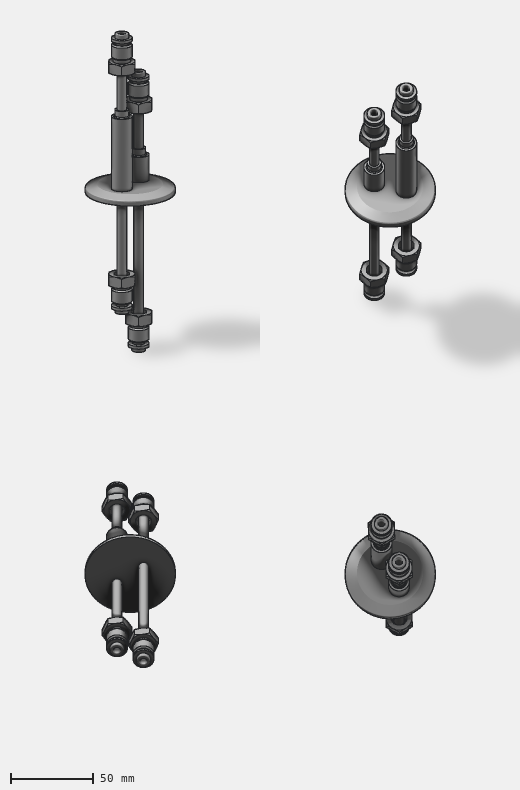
import cadquery as cq
import math

LINE_OFFSET_Y = 10.0
TUBE_LENGTH = 179.0
LONG_REACH = 104.5
SHORT_REACH = TUBE_LENGTH - LONG_REACH
TUBE_DIAMETER = 6.0
BORE_DIAMETER = 4.2

FLANGE_DIAMETER = 55.0
FLANGE_LAND_DIAMETER = 40.1
FLANGE_THICKNESS = 5.0
FLANGE_CONE_ANGLE = 15.0
FLANGE_RIM_FILLET = 1.0

SLEEVE_DIAMETER = 12.7
LONG_SLEEVE_TOP = 51.2
SHORT_SLEEVE_TOP = 21.1
COLLAR_DIAMETER = 8.5
COLLAR_HEIGHT = 4.4
WELD_LEG = 0.6

BEAD_DIAMETER = 8.5
BEAD_DEPTH = 3.0
BEAD_FILLET = 0.6
DISC_DIAMETER = 12.7
DISC_DEPTH = 4.8
NECK_DIAMETER = 7.3
NECK_DEPTH = 14.6

NUT_DEPTH = 6.7
THREAD_DIAMETER = 12.7
RELIEF_DIAMETER = 10.9
THREAD_CHAMFER = (THREAD_DIAMETER - RELIEF_DIAMETER) / 2
THREAD_LENGTH = 9.2
HEX_START = 11.3
NUT_LENGTH = 18.2
HEX_FLATS = 15.9
HEX_CORNERS = HEX_FLATS / math.cos(math.radians(30))
HEX_CHAMFER_ANGLE = 30.0
NUT_BORE_DIAMETER = 9.6

LINES = [
    (-LINE_OFFSET_Y, LONG_REACH, -SHORT_REACH, LONG_SLEEVE_TOP),
    (LINE_OFFSET_Y, SHORT_REACH, -LONG_REACH, SHORT_SLEEVE_TOP),
]


def cylinder(diameter, bottom, top):
    """Cylinder on the Z axis between two heights."""
    return cq.Workplane("XY").workplane(offset=bottom).circle(diameter / 2).extrude(top - bottom)


def place_at_end(shape, y, tip, upper):
    """Move a shape whose tip is at the origin, pointing up, to an upper or lower tube end."""
    if not upper:
        shape = shape.rotate((0, 0, 0), (1, 0, 0), 180)
    return shape.translate((0, y, tip))


def make_flange_plate():
    """Round plate with a conical rim on its upper side."""
    radius = FLANGE_DIAMETER / 2
    land_radius = FLANGE_LAND_DIAMETER / 2
    cone_drop = (radius - land_radius) * math.tan(math.radians(FLANGE_CONE_ANGLE))
    rim_height = FLANGE_THICKNESS - cone_drop
    plate = (
        cq.Workplane("XZ")
        .moveTo(0, 0)
        .lineTo(radius, 0)
        .lineTo(radius, rim_height)
        .lineTo(land_radius, FLANGE_THICKNESS)
        .lineTo(0, FLANGE_THICKNESS)
        .close()
        .revolve(360, (0, 0, 0), (0, 1, 0))
    )
    return plate.faces("%CONE").edges("<Z").fillet(FLANGE_RIM_FILLET)


def make_weld(sleeve_top):
    """Conical weld seam between the collar and the top of the sleeve."""
    wide_diameter = COLLAR_DIAMETER + 2 * WELD_LEG
    foot = cq.Workplane("XY").workplane(offset=sleeve_top).circle(wide_diameter / 2)
    return foot.workplane(offset=WELD_LEG).circle(COLLAR_DIAMETER / 2).loft(ruled=True)


def make_gland():
    """Neck, sealing disc and rounded bead, with the tip at the origin pointing up."""
    bead = cylinder(BEAD_DIAMETER, -BEAD_DEPTH, 0).cut(cylinder(BORE_DIAMETER, -BEAD_DEPTH, 0))
    bead = bead.faces(">Z").edges().fillet(BEAD_FILLET)
    disc = cylinder(DISC_DIAMETER, -DISC_DEPTH, -BEAD_DEPTH)
    neck = cylinder(NECK_DIAMETER, -NECK_DEPTH, -DISC_DEPTH)
    return disc.union(neck).cut(cylinder(BORE_DIAMETER, -NECK_DEPTH, 0)).union(bead)


def make_feedthrough():
    """Flange plate welded up with its sleeves, tubes and glands."""
    body = make_flange_plate()
    for y, upper_tip, lower_tip, sleeve_top in LINES:
        sleeve = cylinder(SLEEVE_DIAMETER, 0, sleeve_top)
        collar = cylinder(COLLAR_DIAMETER, sleeve_top, sleeve_top + COLLAR_HEIGHT)
        tube = cylinder(TUBE_DIAMETER, lower_tip + DISC_DEPTH, upper_tip - DISC_DEPTH)
        bore = cylinder(BORE_DIAMETER, lower_tip + DISC_DEPTH, upper_tip - DISC_DEPTH)
        line = sleeve.union(collar).union(make_weld(sleeve_top)).union(tube).translate((0, y, 0))
        body = body.union(line).cut(bore.translate((0, y, 0)))
        for tip, upper in ((upper_tip, True), (lower_tip, False)):
            body = body.union(place_at_end(make_gland(), y, tip, upper))
    return body


def make_hexagon():
    """Hexagon of the nut with corners along X, chamfered to a cone at both ends."""
    height = NUT_LENGTH - HEX_START
    hexagon = (
        cq.Workplane("XY").workplane(offset=-NUT_LENGTH).polygon(6, HEX_CORNERS).extrude(height)
    )
    flat_radius = HEX_FLATS / 2
    corner_radius = HEX_CORNERS / 2
    drop = (corner_radius - flat_radius) * math.tan(math.radians(HEX_CHAMFER_ANGLE))
    envelope = (
        cq.Workplane("XZ")
        .moveTo(0, -NUT_LENGTH)
        .lineTo(flat_radius, -NUT_LENGTH)
        .lineTo(corner_radius, -NUT_LENGTH + drop)
        .lineTo(corner_radius, -HEX_START - drop)
        .lineTo(flat_radius, -HEX_START)
        .lineTo(0, -HEX_START)
        .close()
        .revolve(360, (0, 0, 0), (0, 1, 0))
    )
    return hexagon.intersect(envelope)


def make_nut():
    """Gland nut with the threaded end at the origin pointing up."""
    thread = cylinder(THREAD_DIAMETER, -THREAD_LENGTH, 0).edges().chamfer(THREAD_CHAMFER)
    relief = cylinder(RELIEF_DIAMETER, -HEX_START, -THREAD_LENGTH)
    bore = cylinder(NUT_BORE_DIAMETER, -NUT_LENGTH, 0)
    return thread.union(relief).union(make_hexagon()).cut(bore)


feedthrough = make_feedthrough()

nuts = []
for y, upper_tip, lower_tip, _ in LINES:
    nuts.append(place_at_end(make_nut(), y, upper_tip - NUT_DEPTH, upper=True))
    nuts.append(place_at_end(make_nut(), y, lower_tip + NUT_DEPTH, upper=False))

result = cq.Compound.makeCompound([feedthrough.val(), *[nut.val() for nut in nuts]])